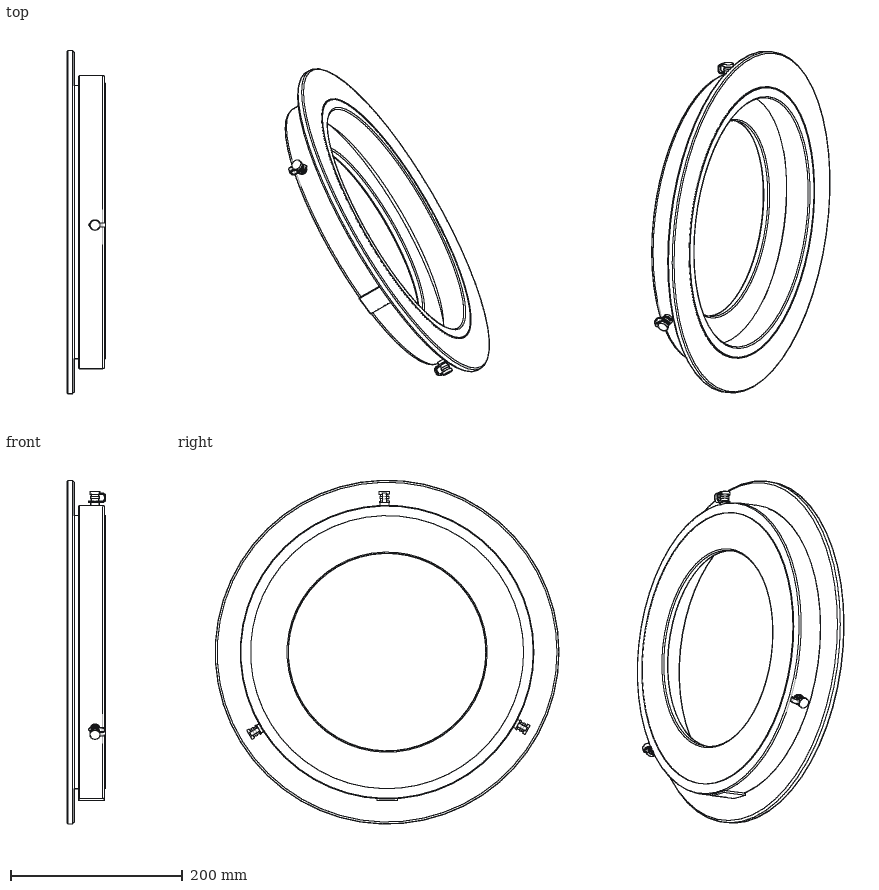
import cadquery as cq
import math

total_width = 45.0
edge_chamfer = 1.5

flange_radius = 200.0
flange_width = 9.0
flange_rear_chamfer = 2.5

tube_radius = 159.0
tube_length = 29.5
tube_front_chamfer = 1.0
bore_radius = 146.0

drum_radius = 171.0
drum_start = 13.5
drum_end = 44.0
drum_front_chamfer = 1.0
drum_rear_chamfer_depth = 1.0
drum_rear_chamfer_length = 2.5
boss_radius = 159.0
web_start = 37.0
web_hole_radius = 115.0

plate_thickness = 2.0
plate_width = 24.0

fitting_count = 3
fitting_x = 33.0
first_fitting_angle = 1.0
recess_floor = 166.0
base_radius = 5.0
base_top = 174.0
neck_radius = 4.5
ridge_radius = 5.0
ridge_bottom = 179.0
ridge_height = 2.5
cap_radius = 6.0
cap_bottom = 183.5
cap_top = 187.0

strap_width = 5.0
strap_thickness = 1.5
strap_corner_radius = 4.0
tether_ring_radius = 6.0
tab_reach = 7.5


def disc(radius, start, end):
    """Cylinder around the X axis."""
    return cq.Workplane("YZ").workplane(offset=start).circle(radius).extrude(end - start)


def post(radius, bottom, top):
    """Cylinder around the Z axis."""
    return cq.Workplane("XY").workplane(offset=bottom).circle(radius).extrude(top - bottom)


def place_fitting(body, index):
    """Move a body from the Z axis to its place on the drum."""
    angle = first_fitting_angle + index * 360 / fitting_count
    return body.translate((fitting_x, 0, 0)).rotate((0, 0, 0), (1, 0, 0), angle)


def make_flange():
    flange = disc(flange_radius, 0, flange_width)
    flange = flange.faces("<X").chamfer(edge_chamfer)
    flange = flange.faces(">X").chamfer(flange_rear_chamfer)
    return flange.cut(disc(tube_radius, 0, flange_width))


def make_tube():
    tube = disc(tube_radius, 0, tube_length).faces("<X").chamfer(tube_front_chamfer)
    tube = tube.cut(disc(bore_radius, 0, tube_length))
    bore_mouth = cq.selectors.RadiusNthSelector(0)
    return tube.faces("<X").edges(bore_mouth).chamfer(edge_chamfer)


def make_drum():
    drum = disc(drum_radius, drum_start, drum_end)
    drum = drum.faces("<X").chamfer(drum_front_chamfer)
    drum = drum.faces(">X").chamfer(drum_rear_chamfer_length, drum_rear_chamfer_depth)
    drum = drum.union(disc(boss_radius, drum_end, total_width))
    drum = drum.cut(disc(tube_radius, drum_start, web_start))
    drum = drum.cut(disc(web_hole_radius, web_start, total_width))
    web_hole_edges = cq.selectors.RadiusNthSelector(0)
    drum = drum.edges(web_hole_edges).chamfer(edge_chamfer)
    for index in range(fitting_count):
        recess = post(base_radius, recess_floor, base_top)
        drum = drum.cut(place_fitting(recess, index))
    return drum


def make_plate():
    seat_depth = drum_radius - drum_radius * math.cos(math.asin(plate_width / 2 / drum_radius))
    plate = cq.Workplane("XY").box(
        drum_end - drum_start,
        plate_width,
        plate_thickness + seat_depth,
        centered=(False, True, False),
    )
    plate = plate.translate((drum_start, 0, -drum_radius - plate_thickness))
    return plate.cut(disc(drum_radius, drum_start, drum_end))


def nipple():
    """Stepped post that stands in its recess in the drum."""
    base = post(base_radius, recess_floor, base_top)
    neck = post(neck_radius, base_top, cap_bottom)
    ridge = post(ridge_radius, ridge_bottom, ridge_bottom + ridge_height)
    return base.union(neck).union(ridge)


def rounded_block(length, height, bottom, corner_radius):
    """Block as wide as the strap, reaching from the Z axis toward +X, its far corners rounded."""
    block = cq.Workplane("XY").box(length, strap_width, height, centered=(False, True, False))
    return block.edges("|Y and >X").fillet(corner_radius).translate((0, 0, bottom))


def strap():
    """Flat strip bent into a U that leaves the cap and returns to the ring."""
    reach = total_width - fitting_x
    height = cap_bottom + strap_thickness - base_top
    outside = rounded_block(reach, height, base_top, strap_corner_radius)
    inside = rounded_block(
        reach - strap_thickness,
        height - 2 * strap_thickness,
        base_top + strap_thickness,
        strap_corner_radius - strap_thickness,
    )
    return outside.cut(inside)


def tether_ring():
    """Disc with a pointed pull tab whose sides are tangent to it."""
    tangent_angle = math.acos(tether_ring_radius / tab_reach)
    tangent_x = -tether_ring_radius * math.cos(tangent_angle)
    tangent_y = tether_ring_radius * math.sin(tangent_angle)
    return (
        cq.Workplane("XY")
        .workplane(offset=base_top)
        .moveTo(-tab_reach, 0)
        .lineTo(tangent_x, -tangent_y)
        .threePointArc((tether_ring_radius, 0), (tangent_x, tangent_y))
        .close()
        .extrude(strap_thickness)
    )


def make_fitting(index):
    cap = post(cap_radius, cap_bottom, cap_top)
    fitting = nipple().union(cap).union(strap()).union(tether_ring())
    return place_fitting(fitting, index)


flange = make_flange()
tube = make_tube()
drum = make_drum()
plate = make_plate()
fittings = [make_fitting(index) for index in range(fitting_count)]

result = cq.Compound.makeCompound(
    [flange.val(), tube.val(), drum.val(), plate.val(), *[fitting.val() for fitting in fittings]]
)